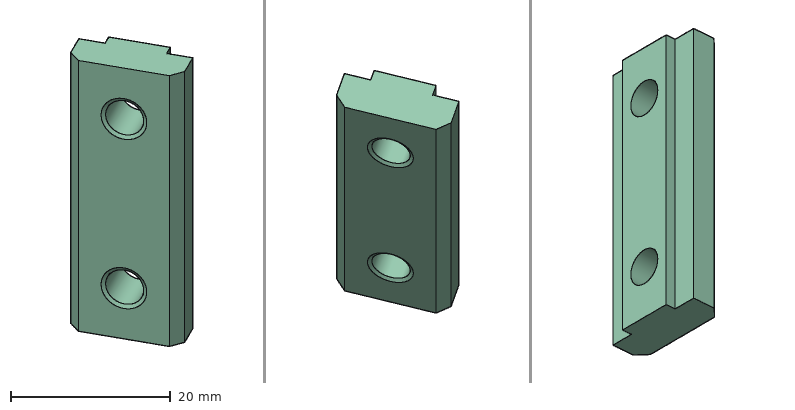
import cadquery as cq

length = 40.0
width = 15.0
depth = 6.5

rib_width = 8.1
rib_height = 1.5
edge_chamfer = 1.5

hole_diameter = 5.0
countersink_diameter = 6.0
countersink_angle = 120.0
hole_spacing = 25.0

half_width = width / 2
half_rib = rib_width / 2
front_y = -depth / 2
back_y = depth / 2
shoulder_y = back_y - rib_height


def make_bar():
    """Chamfered bar with a narrower rib along its back."""
    right_side = [
        (half_width - edge_chamfer, front_y),
        (half_width, front_y + edge_chamfer),
        (half_width, shoulder_y),
        (half_rib, shoulder_y),
        (half_rib, back_y),
    ]
    left_side = [(-x, y) for x, y in reversed(right_side)]
    profile = cq.Workplane("XY").workplane(offset=-length / 2)
    return profile.polyline(right_side + left_side).close().extrude(length)


def cut_holes(bar):
    """Two through holes, countersunk on the front face."""
    return (
        bar.faces("<Y")
        .workplane(origin=(0, front_y, 0))
        .pushPoints([(0, -hole_spacing / 2), (0, hole_spacing / 2)])
        .cskHole(hole_diameter, countersink_diameter, countersink_angle)
    )


result = cut_holes(make_bar())